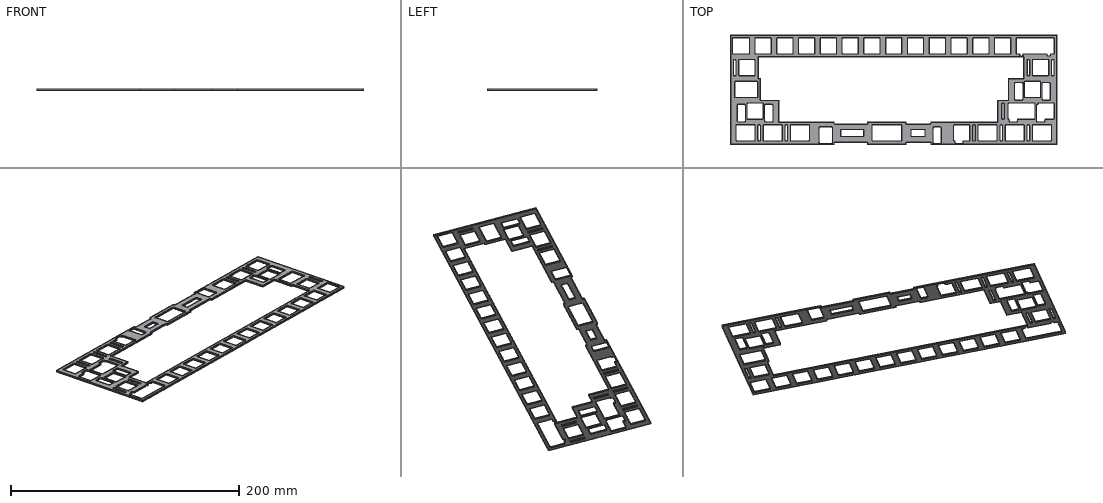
import cadquery as cq

LENGTH = 285.8
WIDTH = 95.7
THICKNESS = 1.5
KEYS_ACROSS = 15
PITCH = LENGTH / KEYS_ACROSS
NUMBER_ROW, TAB_ROW, CAPS_ROW, SHIFT_ROW, BOTTOM_ROW = range(5)

SWITCH = 14.0
SWITCH_RADIUS = 0.43
MODIFIER_STEP = 1.25
BOTTOM_ROW_SPREAD = 0.125

STAB_WIDTH = 7.1
STAB_HEIGHT = 15.5
STAB_DROP = 1.7
STAB_RADIUS = 1.0
STAB_OFFSET = 0.63
SHORT_SPACE_STAB = 2.62
LONG_SPACE_STAB = 3
SPACE_STAB_WIDTH = 7.0
SPACE_STAB_HEIGHT = 14.5
SPACE_STAB_DROP = 2.0
WIRE_NOTCH_WIDTH = 3.0
WIRE_NOTCH_DEPTH = 1.7
WIRE_NOTCH_RADIUS = 0.71

SLOT_WIDTH = 2.0
SLOT_RADIUS = 0.71
SLOT_OFFSET = 0.56
SHIFT_SLOT_OFFSET = 0.6

OPENING_LEFT = (24.3, 26.0, 42.3)
OPENING_RIGHT = (256.5, 243.2, 233.7)

NECKS = ((90.5, 120.0), (153.5, 175.5))
NECK_DEPTH = 1.7
NECK_WINDOWS = ((96.5, 116.5), (158.0, 170.0))
NECK_WINDOW_HEIGHT = 6.0
NECK_RADIUS = 0.71


def column_x(u):
    """X of a place u key units from the left edge."""
    return u * PITCH - LENGTH / 2


def row_edge_y(row):
    """Y of the rear boundary of a key row."""
    return WIDTH / 2 - row * PITCH


def row_y(row):
    """Y of the centre line of a key row."""
    return row_edge_y(row + 0.5)


def cutter(left, right, bottom, top, radius=0):
    """Block through the plate with rounded upright edges."""
    block = cq.Workplane("XY").box(right - left, top - bottom, THICKNESS)
    if radius:
        block = block.edges("|Z").fillet(radius)
    return block.translate(((left + right) / 2, (bottom + top) / 2, 0))


def switch(row, first_u, last_u=None):
    """Opening that spans switches centred from first_u to last_u."""
    left = column_x(first_u) - SWITCH / 2
    right = column_x(last_u or first_u) + SWITCH / 2
    y = row_y(row)
    return cutter(left, right, y - SWITCH / 2, y + SWITCH / 2, SWITCH_RADIUS)


def stabilizer(row, u):
    """Opening for one stabilizer of a wide key."""
    x = column_x(u)
    y = row_y(row) - STAB_DROP
    return cutter(x - STAB_WIDTH / 2, x + STAB_WIDTH / 2,
                  y - STAB_HEIGHT / 2, y + STAB_HEIGHT / 2, STAB_RADIUS)


def space_stabilizer(first_u, last_u=None):
    """Opening that spans space bar stabilizers centred from first_u to last_u."""
    left = column_x(first_u) - SPACE_STAB_WIDTH / 2
    right = column_x(last_u or first_u) + SPACE_STAB_WIDTH / 2
    y = row_y(BOTTOM_ROW) - SPACE_STAB_DROP
    return cutter(left, right, y - SPACE_STAB_HEIGHT / 2, y + SPACE_STAB_HEIGHT / 2, STAB_RADIUS)


def slot(row, u):
    """Relief slot as tall as a switch opening."""
    x = column_x(u)
    y = row_y(row)
    return cutter(x - SLOT_WIDTH / 2, x + SLOT_WIDTH / 2, y - SWITCH / 2, y + SWITCH / 2, SLOT_RADIUS)


def number_row():
    """Slightly widened first opening, twelve single keys and a split or full backspace."""
    widened_u = 0.46
    first_key_u = 0.5
    single_keys = 12
    backspace_u = 14
    cutters = [switch(NUMBER_ROW, widened_u, first_key_u)]
    cutters += [switch(NUMBER_ROW, first_key_u + i) for i in range(1, single_keys + 1)]
    cutters.append(switch(NUMBER_ROW, backspace_u - 0.5, backspace_u + 0.5))
    y = row_y(NUMBER_ROW)
    for side in (-1, 1):
        x = column_x(backspace_u + side * STAB_OFFSET)
        cutters.append(cutter(x - WIRE_NOTCH_WIDTH / 2, x + WIRE_NOTCH_WIDTH / 2,
                              y - SWITCH / 2 - WIRE_NOTCH_DEPTH, y, WIRE_NOTCH_RADIUS))
    return cutters


def tab_row():
    """A 1.5u key at each end with relief slots beside it."""
    tab_u = 0.75
    backslash_u = 14.25
    return [
        slot(TAB_ROW, tab_u - SLOT_OFFSET),
        switch(TAB_ROW, tab_u),
        slot(TAB_ROW, backslash_u - SLOT_OFFSET),
        switch(TAB_ROW, backslash_u),
        slot(TAB_ROW, backslash_u + SLOT_OFFSET),
    ]


def stabilized_key(row, u):
    """Switch opening with a stabilizer opening on each side."""
    return [stabilizer(row, u - STAB_OFFSET), switch(row, u), stabilizer(row, u + STAB_OFFSET)]


def caps_row():
    """Stepped caps lock on the left and a 2.25u enter key on the right."""
    caps_first_u = 0.57
    caps_last_u = 0.875
    enter_u = 13.875
    return [switch(CAPS_ROW, caps_first_u, caps_last_u)] + stabilized_key(CAPS_ROW, enter_u)


def shift_row():
    """2.25u shift on the left; 1.75u or 2.75u shift and a 1u key on the right."""
    left_shift_u = 1.125
    short_shift_u = 13.125
    right_shift_u = 13.625
    last_key_u = 14.5
    return stabilized_key(SHIFT_ROW, left_shift_u) + [
        slot(SHIFT_ROW, short_shift_u - SHIFT_SLOT_OFFSET),
        switch(SHIFT_ROW, short_shift_u, right_shift_u),
        stabilizer(SHIFT_ROW, right_shift_u - STAB_OFFSET),
        stabilizer(SHIFT_ROW, right_shift_u + STAB_OFFSET),
        switch(SHIFT_ROW, last_key_u),
    ]


def bottom_row():
    """1.25u modifier keys with slots between them, and the space bar."""
    spread = BOTTOM_ROW_SPREAD / 2
    first_u = MODIFIER_STEP / 2 + spread
    last_u = KEYS_ACROSS - first_u
    modifiers = [first_u + i * MODIFIER_STEP for i in range(3)]
    modifiers += [last_u - i * MODIFIER_STEP for i in range(3)]
    slots = [first_u + (i + 0.5) * MODIFIER_STEP for i in range(2)]
    slots += [last_u - (i + 0.5) * MODIFIER_STEP for i in range(3)]

    space_u = 6.875
    long_space_u = 7.5
    single_key_u = 10.625
    cutters = [switch(BOTTOM_ROW, u - spread, u + spread) for u in modifiers]
    cutters += [slot(BOTTOM_ROW, u) for u in slots]
    cutters += [
        switch(BOTTOM_ROW, space_u, long_space_u),
        space_stabilizer(space_u - SHORT_SPACE_STAB, long_space_u - LONG_SPACE_STAB),
        space_stabilizer(space_u + SHORT_SPACE_STAB),
        switch(BOTTOM_ROW, single_key_u),
        space_stabilizer(long_space_u + LONG_SPACE_STAB),
    ]
    return cutters


def central_opening():
    """Stepped opening, one block for each middle row."""
    cutters = []
    for row, (left, right) in enumerate(zip(OPENING_LEFT, OPENING_RIGHT), start=TAB_ROW):
        cutters.append(cutter(left - LENGTH / 2, right - LENGTH / 2, row_edge_y(row + 1), row_edge_y(row)))
    return cutters


def necks():
    """Recesses in both edges of the bottom rail and a window between each pair."""
    cutters = []
    rail_top = row_edge_y(BOTTOM_ROW)
    rail_bottom = -WIDTH / 2
    for left, right in NECKS:
        for y in (rail_top, rail_bottom):
            cutters.append(cutter(left - LENGTH / 2, right - LENGTH / 2,
                                  y - NECK_DEPTH, y + NECK_DEPTH, NECK_RADIUS))
    for left, right in NECK_WINDOWS:
        y = row_y(BOTTOM_ROW)
        cutters.append(cutter(left - LENGTH / 2, right - LENGTH / 2,
                              y - NECK_WINDOW_HEIGHT / 2, y + NECK_WINDOW_HEIGHT / 2))
    return cutters


result = cq.Workplane("XY").box(LENGTH, WIDTH, THICKNESS)
for opening in (number_row() + tab_row() + caps_row() + shift_row() + bottom_row()
                + central_opening() + necks()):
    result = result.cut(opening)